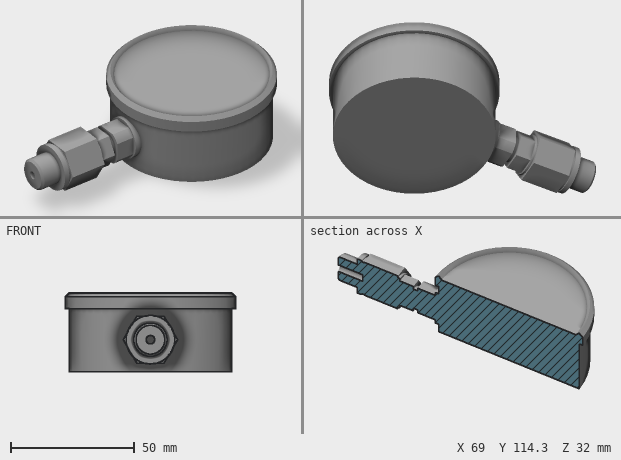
import cadquery as cq
import math

case_radius = 32.9
case_height = 32.0
rim_radius = 34.5
rim_height = 6.4
rim_chamfer = 1.7
dial_radius = 31.3
dial_depth = 1.7

stem_height = 13.0
flange_diameter = 17.7
square_width = 14.2
square_flat = 8.0
square_length = 8.0
neck_diameter = 11.2
neck_length = 2.0
small_hex_flats = 14.2
small_hex_length = 6.3
collar_diameter = 17.0
collar_length = 0.9
large_hex_flats = 19.0
large_hex_length = 16.0
undercut_diameter = 18.5
undercut_length = 0.9
washer_diameter = 19.7
washer_length = 2.2
thread_diameter = 13.5
thread_chamfer = 0.9
bore_diameter = 3.4
bore_depth = 11.4
tip_distance = 79.8


def make_case():
    """Revolved case with a bevelled rim around the sunken dial."""
    ridge_radius = rim_radius - rim_chamfer
    rim_bottom = case_height - rim_height
    dial_level = case_height - dial_depth
    profile = [
        (0, 0),
        (case_radius, 0),
        (case_radius, rim_bottom),
        (rim_radius, rim_bottom),
        (rim_radius, case_height - rim_chamfer),
        (ridge_radius, case_height),
        (dial_radius, dial_level),
        (0, dial_level),
    ]
    return cq.Workplane("XZ").polyline(profile).close().revolve(360, (0, 0), (0, 1))


def stem_plane(distance):
    """Workplane facing -Y on the stem axis, at a distance from the case axis."""
    return cq.Workplane("XZ", origin=(0, -distance, stem_height))


def cylinder(start, length, diameter):
    return stem_plane(start).circle(diameter / 2).extrude(length)


def hexagon(start, length, flats):
    """Hexagonal prism with flats at top and bottom and corners along X."""
    corner_diameter = flats / math.cos(math.pi / 6)
    return stem_plane(start).polygon(6, corner_diameter).extrude(length)


def rounded_square(start, length, width):
    """Square prism whose corners are turned down to leave narrower flats."""
    turned_diameter = math.hypot(width, square_flat)
    square = stem_plane(start).rect(width, width).extrude(length)
    return square.intersect(cylinder(start, length, turned_diameter))


def make_stem():
    """Stack of sections from the case outwards, ending in the thread."""
    flange_start = case_radius / 2
    sections = [
        (cylinder, rim_radius - flange_start, flange_diameter),
        (rounded_square, square_length, square_width),
        (cylinder, neck_length, neck_diameter),
        (hexagon, small_hex_length, small_hex_flats),
        (cylinder, collar_length, collar_diameter),
        (hexagon, large_hex_length, large_hex_flats),
        (cylinder, undercut_length, undercut_diameter),
        (cylinder, washer_length, washer_diameter),
    ]
    stem = cq.Workplane("XZ")
    start = flange_start
    for make_section, length, size in sections:
        stem = stem.add(make_section(start, length, size))
        start += length
    thread = cylinder(start, tip_distance - start, thread_diameter)
    stem = stem.add(thread.faces("<Y").chamfer(thread_chamfer))
    return stem.combine()


bore = cylinder(tip_distance - bore_depth, bore_depth, bore_diameter)
result = make_case().union(make_stem()).cut(bore)